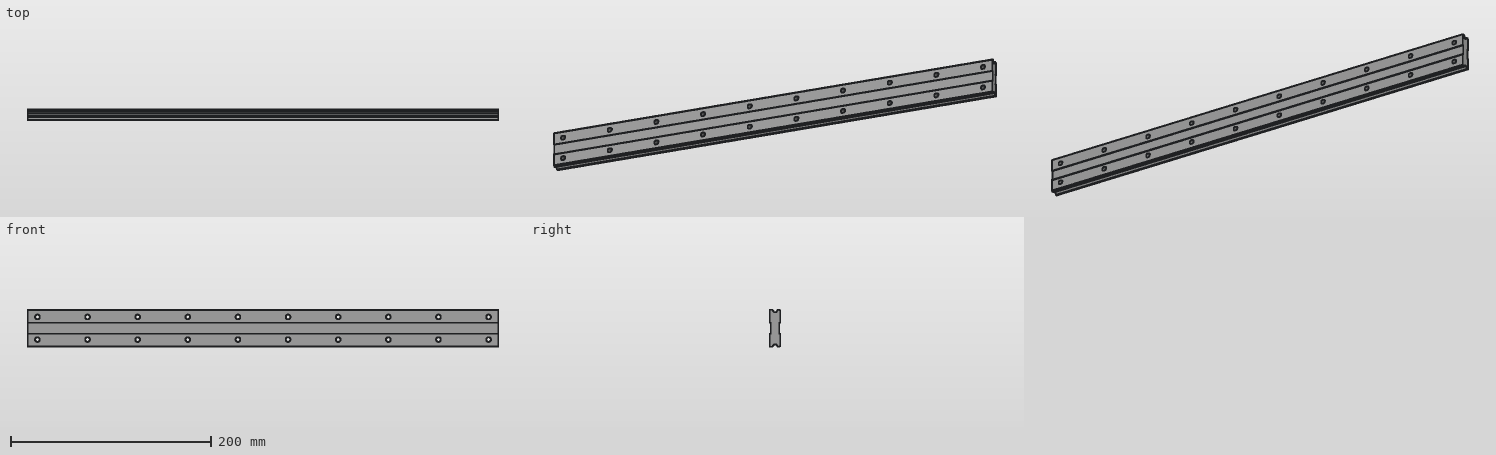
import cadquery as cq

length = 470.0
thickness = 11.0
height = 37.0

front_lip = 3.0
groove_wall_run = 1.65
groove_floor = 2.1
groove_depth = 2.5

front_bevel = 0.5
back_bevel = 1.18

channel_height = 11.0
channel_depth = 1.0

hole_diameter = 4.5
hole_end_margin = 10.0
holes_per_row = 10
row_count = 2
row_spacing = 22.5

front_y = -thickness / 2
back_y = thickness / 2
half_height = height / 2
hole_pitch = (length - 2 * hole_end_margin) / (holes_per_row - 1)


def upper_section_points():
    """Upper half of the cross section as (y, z) points, from front to back."""
    floor_z = half_height - groove_depth
    lip_y = front_y + front_lip
    floor_start_y = lip_y + groove_wall_run
    floor_end_y = floor_start_y + groove_floor
    return [
        (front_y, half_height - front_bevel),
        (front_y + front_bevel, half_height),
        (lip_y, half_height),
        (floor_start_y, floor_z),
        (floor_end_y, floor_z),
        (floor_end_y + groove_wall_run, half_height),
        (back_y - back_bevel, half_height),
        (back_y, half_height - back_bevel),
    ]


def rail_body():
    """Grooved bar, symmetric about the plane Z = 0 and centred along X."""
    upper = upper_section_points()
    lower = [(y, -z) for y, z in reversed(upper)]
    section = cq.Workplane("YZ").polyline(upper + lower).close()
    return section.extrude(length / 2, both=True)


def channel(face_y):
    """Full-length bar, centred on a face, that cuts the channel into it."""
    bar = cq.Workplane("XY").box(length, 2 * channel_depth, channel_height)
    return bar.translate((0, face_y, 0))


def mounting_holes():
    """Cylinders along Y through the full thickness, in two rows."""
    return (
        cq.Workplane("XZ")
        .rarray(hole_pitch, row_spacing, holes_per_row, row_count)
        .circle(hole_diameter / 2)
        .extrude(thickness, both=True)
    )


result = rail_body()
for face_y in (front_y, back_y):
    result = result.cut(channel(face_y))
result = result.cut(mounting_holes())